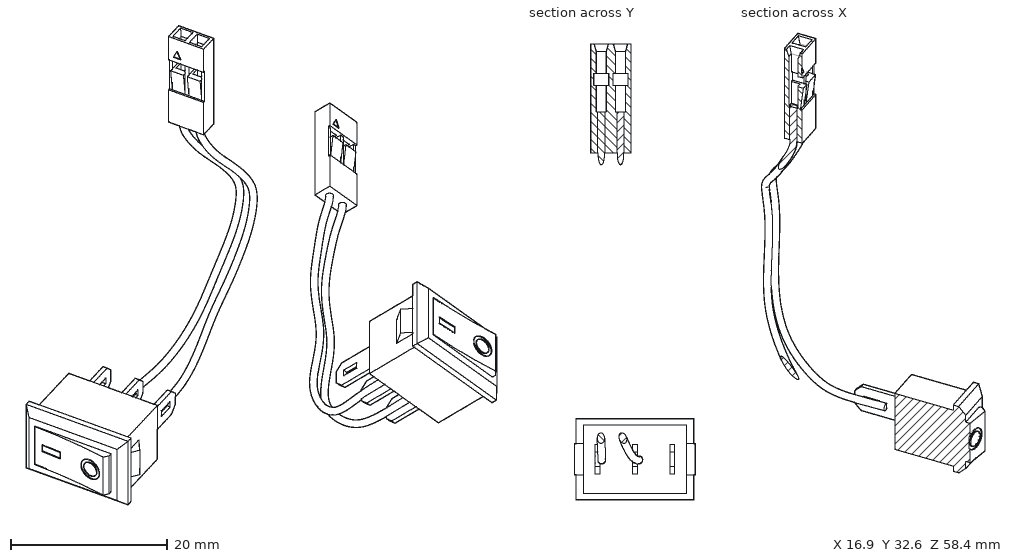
import cadquery as cq


bezel_width = 15.1
bezel_height = 10.4
bezel_depth = 1.8
bezel_chamfer = 1.03
bezel_front = -bezel_depth
body_width = 13.14
body_height = 8.8
body_depth = 8.38

clip_reach = 1.17
clip_height = 4.0
clip_front = 0.4
clip_peak = 1.9
clip_back = 3.67

rocker_half_length = 5.65
rocker_height = 6.2
rocker_low_rise = 0.08
rocker_high_rise = 1.1
rocker_sag = 0.19
rocker_nose = 0.55
rocker_nose_rise = 0.5
mark_depth = 0.15
ring_x = 2.97
ring_outer_diameter = 2.96
ring_inner_diameter = 2.07
bar_x = -3.15
bar_length = 2.8
bar_height = 1.04

terminal_pitch = 4.77
terminal_thickness = 0.62
terminal_length = 7.1
terminal_height = 3.75
terminal_chamfer = 0.95
terminal_tip = body_depth + terminal_length
eye_length = 2.2
eye_height = 0.9
eye_to_tip = 1.3

plug_width = 5.2
plug_depth = 2.6
plug_height = 14.0
plug_x = 3.08
plug_front = 21.63
plug_top = 53.18
plug_y = plug_front + plug_depth / 2
plug_bottom = plug_top - plug_height
socket_pitch = 2.46
socket_xs = [plug_x - socket_pitch / 2, plug_x + socket_pitch / 2]
socket_mouth_width = 1.8
socket_mouth_depth = 1.95
socket_size = 1.25
socket_funnel = 1.0
window_drop = 3.81
window_height = 4.9
window_depth = 0.25
window_top = plug_top - window_drop
window_bottom = window_top - window_height
latch_width = 1.9
latch_drop = 1.5
latch_top = window_top - latch_drop
latch_rise = 0.17
arrow_x = 1.72
arrow_width = 1.05
arrow_height = 1.1
arrow_drop = 3.1
arrow_base = plug_top - arrow_drop
arrow_depth = 0.1

wire_diameter = 1.0
wire_end_y = 10.9
wire_end_z = -0.05

wire_profile = [
    (wire_end_y, wire_end_z),
    (16.0, -0.1),
    (19.3, 0.4),
    (22.6, 2.6),
    (25.5, 6.36),
    (27.4, 10.9),
    (28.35, 16.65),
    (29.0, 23.5),
    (29.2, 26.5),
    (28.3, 29.2),
    (25.95, 32.6),
    (24.0, 36.0),
    (plug_y, plug_bottom),
]

left_wire_sway = [-0.5, -0.32, 0.35, 1.5, 2.67, 3.72, 5.33, 6.67, 6.4, 4.86, 2.95, 1.92, socket_xs[0]]
right_wire_sway = [4.25, 4.25, 4.25, 4.35, 4.67, 5.81, 7.43, 8.68, 8.4, 6.95, 5.15, 4.35, socket_xs[1]]


def block(x_size, y_size, z_size, x_centre, y_front, z_centre):
    """Box centred in X and Z that runs back in +Y from y_front."""
    centre = (x_centre, y_front + y_size / 2, z_centre)
    return cq.Workplane("XY").box(x_size, y_size, z_size).translate(centre)


def make_housing():
    bezel = block(bezel_width, bezel_depth, bezel_height, 0, bezel_front, 0)
    bezel = bezel.faces("<Y").chamfer(bezel_chamfer)
    return bezel.union(block(body_width, body_depth, body_height, 0, 0, 0))


def make_clip(side):
    wall = side * body_width / 2
    outline = [(wall, clip_front), (wall + side * clip_reach, clip_peak), (wall, clip_back)]
    return cq.Workplane("XY").polyline(outline).close().extrude(clip_height / 2, both=True)


def make_rocker():
    low_end = (-rocker_half_length, bezel_front - rocker_low_rise)
    high_end = (rocker_half_length - rocker_nose, bezel_front - rocker_high_rise)
    middle = ((low_end[0] + high_end[0]) / 2, (low_end[1] + high_end[1]) / 2 + rocker_sag)
    return (
        cq.Workplane("XY")
        .moveTo(-rocker_half_length, 0)
        .lineTo(*low_end)
        .threePointArc(middle, high_end)
        .lineTo(rocker_half_length, bezel_front - rocker_nose_rise)
        .lineTo(rocker_half_length, 0)
        .close()
        .extrude(rocker_height / 2, both=True)
    )


def make_rocker_marks():
    """Ring and bar, sunk to an even depth below the hollow face of the rocker."""
    marks = (
        cq.Workplane("XZ", origin=(ring_x, 0, 0))
        .circle(ring_outer_diameter / 2)
        .circle(ring_inner_diameter / 2)
        .extrude(2 * bezel_depth)
        .union(block(bar_length, 2 * bezel_depth, bar_height, bar_x, -2 * bezel_depth, 0))
    )
    return marks.cut(make_rocker().translate((0, mark_depth, 0)))


def make_terminal(x_centre):
    blade = block(terminal_thickness, terminal_length, terminal_height, x_centre, body_depth, 0)
    blade = blade.faces(">Y").edges("|X").chamfer(terminal_chamfer)
    eye_front = terminal_tip - eye_to_tip - eye_length
    return blade.cut(block(2 * terminal_thickness, eye_length, eye_height, x_centre, eye_front, 0))


def make_switch():
    body = make_housing().union(make_rocker()).cut(make_rocker_marks())
    for side in (-1, 1):
        body = body.union(make_clip(side))
    for position in (-1, 0, 1):
        body = body.union(make_terminal(position * terminal_pitch))
    return body


def make_socket(x_centre):
    """Funnel mouth and square cavity, down to the level of the window's lower edge."""
    funnel = (
        cq.Workplane("XY", origin=(x_centre, plug_y, plug_top))
        .rect(socket_mouth_width, socket_mouth_depth)
        .workplane(offset=-socket_funnel)
        .rect(socket_size, socket_size)
        .loft(ruled=True)
    )
    cavity_height = plug_top - window_bottom
    cavity_z = (plug_top + window_bottom) / 2
    cavity = block(socket_size, socket_size, cavity_height, x_centre, plug_y - socket_size / 2, cavity_z)
    opening_depth = (plug_depth + socket_size) / 2
    opening_height = window_top - latch_top
    opening_z = (window_top + latch_top) / 2
    opening = block(latch_width, opening_depth, opening_height, x_centre, plug_front, opening_z)
    return funnel.union(cavity).union(opening)


def make_latch(x_centre):
    """Wedge-shaped latch that rises from the window floor toward its free upper end."""
    floor = plug_front + window_depth
    outline = [(floor, window_bottom), (floor, latch_top), (plug_front - latch_rise, latch_top)]
    wedge = cq.Workplane("YZ", origin=(x_centre, 0, 0)).polyline(outline).close()
    return wedge.extrude(latch_width / 2, both=True)


def make_wire_end(x_centre):
    """Straight end of a wire, inside the plug up to the bottom of its socket."""
    start = cq.Workplane("XY", origin=(x_centre, plug_y, plug_bottom))
    return start.circle(wire_diameter / 2).extrude(window_bottom - plug_bottom)


def make_plug():
    plug = block(plug_width, plug_depth, plug_height, plug_x, plug_front, (plug_top + plug_bottom) / 2)
    window_z = (window_top + window_bottom) / 2
    plug = plug.cut(block(plug_width, window_depth, window_height, plug_x, plug_front, window_z))
    for x_centre in socket_xs:
        plug = plug.cut(make_socket(x_centre))
        plug = plug.cut(make_wire_end(x_centre))
        plug = plug.union(make_latch(x_centre))
    arrow_outline = [
        (arrow_x - arrow_width / 2, arrow_base),
        (arrow_x + arrow_width / 2, arrow_base),
        (arrow_x, arrow_base + arrow_height),
    ]
    arrow = cq.Workplane("XZ", origin=(0, plug_front, 0)).polyline(arrow_outline).close()
    return plug.cut(arrow.extrude(-arrow_depth))


def make_wire(sway):
    route = [(x, y, z) for x, (y, z) in zip(sway, wire_profile)]
    path = cq.Workplane("XY").spline(route, tangents=[(0, 1, 0), (0, 0, 1)], scale=False)
    lead = cq.Workplane("XZ", origin=route[0]).circle(wire_diameter / 2).sweep(path)
    return lead.union(make_wire_end(sway[-1]))


wires = [make_wire(left_wire_sway), make_wire(right_wire_sway)]

switch = make_switch()
plug = make_plug()
for wire in wires:
    switch = switch.cut(wire)

bodies = [switch, plug, *wires]
result = cq.Compound.makeCompound([body.solids().val() for body in bodies])